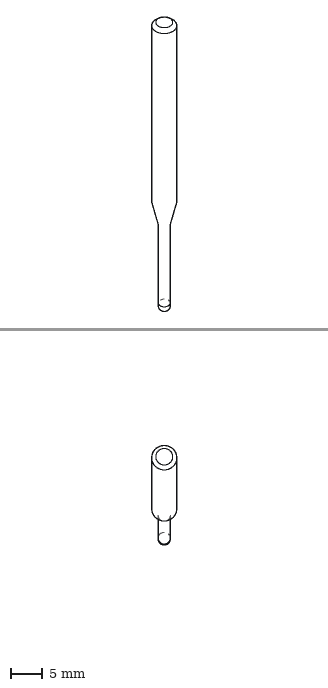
import cadquery as cq

total_length = 60.0
shank_diameter = 4.0
shank_chamfer = 0.65
shank_bottom = 22.6
neck_diameter = 1.9
neck_top = 17.8
cutter_diameter = 2.0
cutter_length = 1.5
cutter_bevel_height = 0.1

shank_radius = shank_diameter / 2
neck_radius = neck_diameter / 2
ball_radius = cutter_diameter / 2


def make_holder():
    """Chamfered shank, tapering to the slender neck."""
    return (
        cq.Workplane("XZ")
        .moveTo(0, cutter_length)
        .lineTo(neck_radius, cutter_length)
        .lineTo(neck_radius, neck_top)
        .lineTo(shank_radius, shank_bottom)
        .lineTo(shank_radius, total_length - shank_chamfer)
        .lineTo(shank_radius - shank_chamfer, total_length)
        .lineTo(0, total_length)
        .close()
        .revolve(360, (0, 0, 0), (0, 1, 0))
    )


def make_cutter():
    """Short cylinder with a bevelled upper rim and a hemispherical nose, seated on the neck end."""
    return (
        cq.Workplane("XZ")
        .lineTo(0, cutter_length)
        .lineTo(neck_radius, cutter_length)
        .lineTo(ball_radius, cutter_length - cutter_bevel_height)
        .lineTo(ball_radius, ball_radius)
        .radiusArc((0, 0), ball_radius)
        .close()
        .revolve(360, (0, 0, 0), (0, 1, 0))
    )


holder = make_holder()
cutter = make_cutter()

result = cq.Compound.makeCompound([holder.val(), cutter.val()])